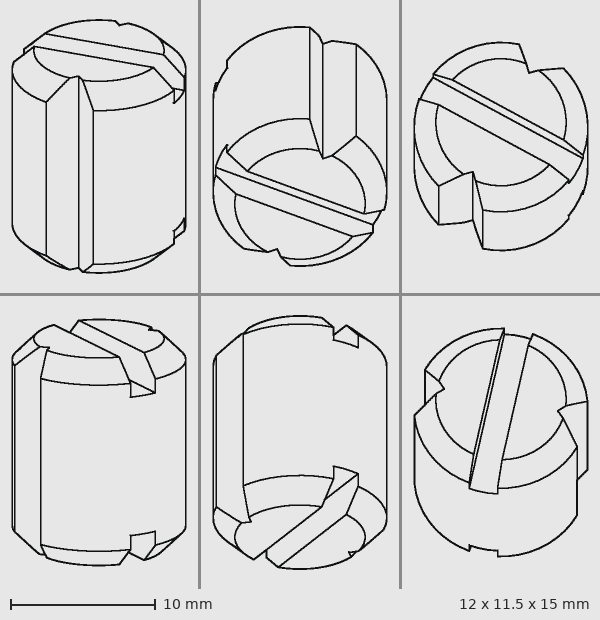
import cadquery as cq
import math

diameter = 12.0
height = 15.0
end_chamfer = 1.5

slot_width = 2.0
slot_depth = 2.5

groove_apex_radius = 4.0
groove_angle = 90.0

radius = diameter / 2


def chamfered_cylinder():
    """Cylinder standing on the XY plane with both end edges chamfered."""
    return cq.Workplane("XY").circle(radius).extrude(height).edges("%CIRCLE").chamfer(end_chamfer)


def end_slot(base_z):
    """Cutter for a slot along X, reaching upward from base_z by the slot depth."""
    return (
        cq.Workplane("XY")
        .workplane(offset=base_z)
        .rect(diameter, slot_width)
        .extrude(slot_depth)
    )


def side_groove(side):
    """Cutter for a full-height V-groove on the +Y (side = 1) or -Y (side = -1) flank."""
    mouth_half_width = (radius - groove_apex_radius) * math.tan(math.radians(groove_angle / 2))
    outline = [
        (0, side * groove_apex_radius),
        (mouth_half_width, side * radius),
        (-mouth_half_width, side * radius),
    ]
    return cq.Workplane("XY").polyline(outline).close().extrude(height)


result = chamfered_cylinder()

for slot_base in (0, height - slot_depth):
    result = result.cut(end_slot(slot_base))

for groove_side in (1, -1):
    result = result.cut(side_groove(groove_side))